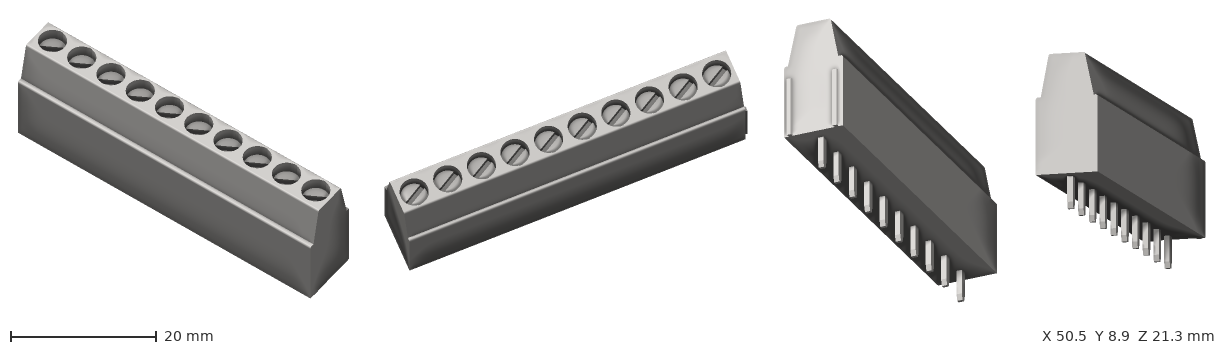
import cadquery as cq


POLE_COUNT = 10
PITCH = 5.0
HOUSING_LENGTH = POLE_COUNT * PITCH
HOUSING_DEPTH = 8.9
HOUSING_HEIGHT = 16.8
LEDGE_HEIGHT = 10.8
BACK_LEDGE_WIDTH = 0.57
FRONT_LEDGE_WIDTH = 0.72
TOP_INSET = 1.88
EDGE_RADIUS = 0.3
HOUSING_CENTRE_Y = 0.14
BACK_Y = HOUSING_CENTRE_Y + HOUSING_DEPTH / 2
FRONT_Y = HOUSING_CENTRE_Y - HOUSING_DEPTH / 2

WELL_DIAMETER = 4.0
GROOVE_WIDTH = 0.55
GROOVE_DEPTH = 0.05
SCREW_DIAMETER = 3.8
SCREW_OFFSET = 0.15
SCREW_Y = HOUSING_CENTRE_Y + SCREW_OFFSET
SCREW_RECESS = 1.7
SLOT_WIDTH = 0.8
SLOT_DEPTH = 1.0
SLOT_ANGLE = 30.0
WELL_DEPTH = SCREW_RECESS + SLOT_DEPTH
WELL_FLOOR = HOUSING_HEIGHT - WELL_DEPTH

PIN_WIDTH = 1.0
PIN_THICKNESS = 0.8
PIN_LENGTH = 4.5
PIN_TIP_WIDTH = 0.5
PIN_TIP_LENGTH = 0.9

RIDGE_PROJECTION = 0.55
RIDGE_HEIGHT = 8.6
RIDGE_OUTER_WIDTH = 0.8
RIDGE_ROOT_WIDTH = 0.45
RIDGE_BEVEL_WIDTH = 0.15
RIDGE_BEVEL_LENGTH = 0.25
RIDGE_OFFSET = 1.0
RIDGE_SPACING = 6.9

POLE_POSITIONS = [(i - (POLE_COUNT - 1) / 2) * PITCH for i in range(POLE_COUNT)]


def make_housing():
    """Stepped body with a tapering upper part and rounded long edges."""
    outline = [
        (FRONT_Y, 0),
        (FRONT_Y, LEDGE_HEIGHT),
        (FRONT_Y + FRONT_LEDGE_WIDTH, LEDGE_HEIGHT),
        (FRONT_Y + TOP_INSET, HOUSING_HEIGHT),
        (BACK_Y - TOP_INSET, HOUSING_HEIGHT),
        (BACK_Y - BACK_LEDGE_WIDTH, LEDGE_HEIGHT),
        (BACK_Y, LEDGE_HEIGHT),
        (BACK_Y, 0),
    ]
    body = cq.Workplane("YZ").polyline(outline).close().extrude(HOUSING_LENGTH / 2, both=True)
    long_edges = body.faces(">Z").edges("|X")
    for side in (">Y", "<Y"):
        long_edges = long_edges.add(body.faces(side).edges("|X and >Z"))
    return long_edges.fillet(EDGE_RADIUS)


def make_well(x):
    """Round well open at the top of the housing, with a shallow groove down its +Y side."""
    base = cq.Workplane("XY", origin=(x, SCREW_Y, WELL_FLOOR))
    bore = base.circle(WELL_DIAMETER / 2).extrude(WELL_DEPTH)
    groove_reach = WELL_DIAMETER / 2 + GROOVE_DEPTH
    groove = base.center(0, groove_reach / 2).rect(GROOVE_WIDTH, groove_reach).extrude(WELL_DEPTH)
    return bore.union(groove)


def make_screw(x):
    """Slotted screw head standing on the floor of its well."""
    base = cq.Workplane("XY", origin=(x, SCREW_Y, WELL_FLOOR))
    head = base.circle(SCREW_DIAMETER / 2).extrude(SLOT_DEPTH)
    slot = (
        base.transformed(rotate=(0, 0, SLOT_ANGLE))
        .rect(2 * SCREW_DIAMETER, SLOT_WIDTH)
        .extrude(SLOT_DEPTH)
    )
    return head.cut(slot)


def make_pin(x):
    """Flat pin below the housing, narrowing in X towards its tip."""
    shoulder_z = PIN_TIP_LENGTH - PIN_LENGTH
    outline = [
        (x - PIN_WIDTH / 2, 0),
        (x - PIN_WIDTH / 2, shoulder_z),
        (x - PIN_TIP_WIDTH / 2, -PIN_LENGTH),
        (x + PIN_TIP_WIDTH / 2, -PIN_LENGTH),
        (x + PIN_WIDTH / 2, shoulder_z),
        (x + PIN_WIDTH / 2, 0),
    ]
    return cq.Workplane("XZ").polyline(outline).close().extrude(PIN_THICKNESS / 2, both=True)


def make_ridge(y):
    """Dovetail ridge on the -X end, with a bevel along its outer -Y edge."""
    root_x = -HOUSING_LENGTH / 2
    outer_x = root_x - RIDGE_PROJECTION
    outline = [
        (root_x, y - RIDGE_ROOT_WIDTH / 2),
        (outer_x + RIDGE_BEVEL_LENGTH, y - RIDGE_OUTER_WIDTH / 2),
        (outer_x, y - RIDGE_OUTER_WIDTH / 2 + RIDGE_BEVEL_WIDTH),
        (outer_x, y + RIDGE_OUTER_WIDTH / 2),
        (root_x, y + RIDGE_ROOT_WIDTH / 2),
    ]
    return cq.Workplane("XY").polyline(outline).close().extrude(RIDGE_HEIGHT)


result = make_housing()
for pole_x in POLE_POSITIONS:
    result = result.cut(make_well(pole_x)).union(make_screw(pole_x)).union(make_pin(pole_x))

back_ridge_y = BACK_Y - RIDGE_OFFSET
for ridge_y in (back_ridge_y, back_ridge_y - RIDGE_SPACING):
    result = result.union(make_ridge(ridge_y))